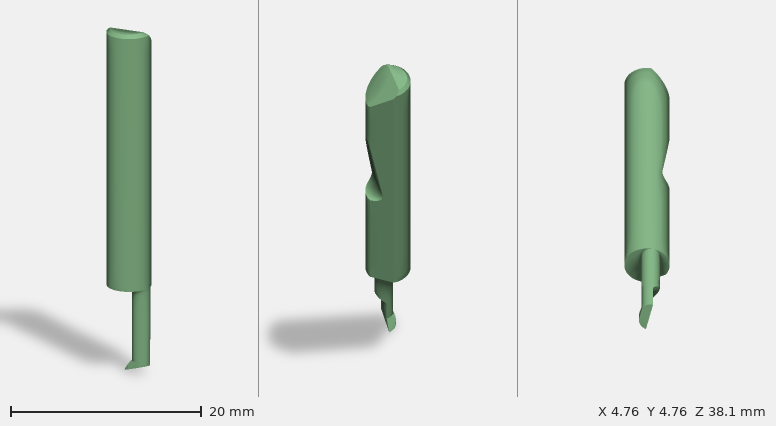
import cadquery as cq
import math

total_length = 38.1
shank_length = 28.58
shank_radius = 2.38
top_chamfer = 0.4
tip_z = shank_length - total_length

flat_distance = 2.0
flat_angle = 143.0

bevel_height = 2.97

notch_start_drop = 8.2
notch_end_drop = 17.0
notch_angle = math.radians(9.5)
notch_radius = 1.0

neck_radius = 0.97
neck_x = shank_radius - neck_radius
rake_drop = 6.02

tip_x = -0.42
head_top_x = 0.5
head_top_z = -8.23
end_rise = 0.8
end_relief_angle = math.radians(11)
side_relief_radius = 1.01

cutter_size = 4 * shank_radius


def profile_along_x(points):
    """Solid with a YZ outline, wide enough in X to cross the whole part."""
    return cq.Workplane("YZ").polyline(points).close().extrude(cutter_size, both=True)


def make_shank():
    shank = cq.Workplane("XY").circle(shank_radius).extrude(shank_length)
    shank = shank.faces(">Z").chamfer(top_chamfer)
    flat_cutter = (
        cq.Workplane("XY")
        .box(cutter_size, cutter_size, shank_length, centered=(False, True, False))
        .translate((flat_distance, 0, 0))
        .rotate((0, 0, 0), (0, 0, 1), flat_angle)
    )
    bevel = profile_along_x([
        (shank_radius, shank_length - bevel_height),
        (shank_radius, shank_length),
        (shank_radius - bevel_height, shank_length),
    ])
    return shank.cut(flat_cutter).cut(bevel).cut(make_notch())


def make_notch():
    """Right-angled wedge with a rounded inner corner."""
    opening = notch_end_drop - notch_start_drop
    ramp_length = opening * math.cos(notch_angle)
    corner_y = shank_radius - ramp_length * math.sin(notch_angle)
    corner_z = shank_length - notch_start_drop - ramp_length * math.cos(notch_angle)
    wall_length = 2 * shank_radius
    wall_y = corner_y + wall_length * math.cos(notch_angle)
    wall_z = corner_z - wall_length * math.sin(notch_angle)
    wedge = profile_along_x([
        (shank_radius, shank_length - notch_start_drop),
        (corner_y, corner_z),
        (wall_y, wall_z),
    ])
    return wedge.edges("<Y").fillet(notch_radius)


def make_neck():
    neck = cq.Workplane("XY").center(neck_x, 0).circle(neck_radius).extrude(tip_z)
    rake_cutter = profile_along_x([
        (0, tip_z),
        (0, -rake_drop),
        (neck_radius, neck_radius - rake_drop),
        (neck_radius, tip_z),
    ])
    return neck.cut(rake_cutter)


def make_head():
    """Hooked cutting edge in front of the rake face, with a rounded side relief."""
    head = (
        cq.Workplane("XZ")
        .polyline([
            (tip_x, tip_z),
            (head_top_x, head_top_z),
            (neck_x, head_top_z),
            (neck_x, tip_z),
        ])
        .close()
        .extrude(neck_radius)
    )
    relief_x = tip_x + side_relief_radius
    envelope = (
        cq.Workplane("XY", origin=(relief_x, 0, tip_z))
        .circle(side_relief_radius)
        .extrude(head_top_z - tip_z)
    )
    inner_block = cq.Workplane("XY").box(
        neck_x - relief_x, 2 * neck_radius, head_top_z - tip_z, centered=(False, True, False)
    ).translate((relief_x, 0, tip_z))
    return head.intersect(envelope.union(inner_block))


def make_end_cutter():
    """Sloping end face, rising toward +X from the tip and relieved toward -Y."""
    slope = end_rise / (shank_radius - tip_x)
    relief = math.tan(end_relief_angle)
    end_plane = cq.Plane(origin=(tip_x, 0, tip_z), xDir=(1, 0, slope), normal=(slope, -relief, -1))
    return cq.Workplane(end_plane).rect(cutter_size, cutter_size).extrude(shank_radius)


end_cutter = make_end_cutter()
neck = make_neck().cut(end_cutter)
head = make_head().cut(end_cutter)
result = make_shank().union(neck).union(head)